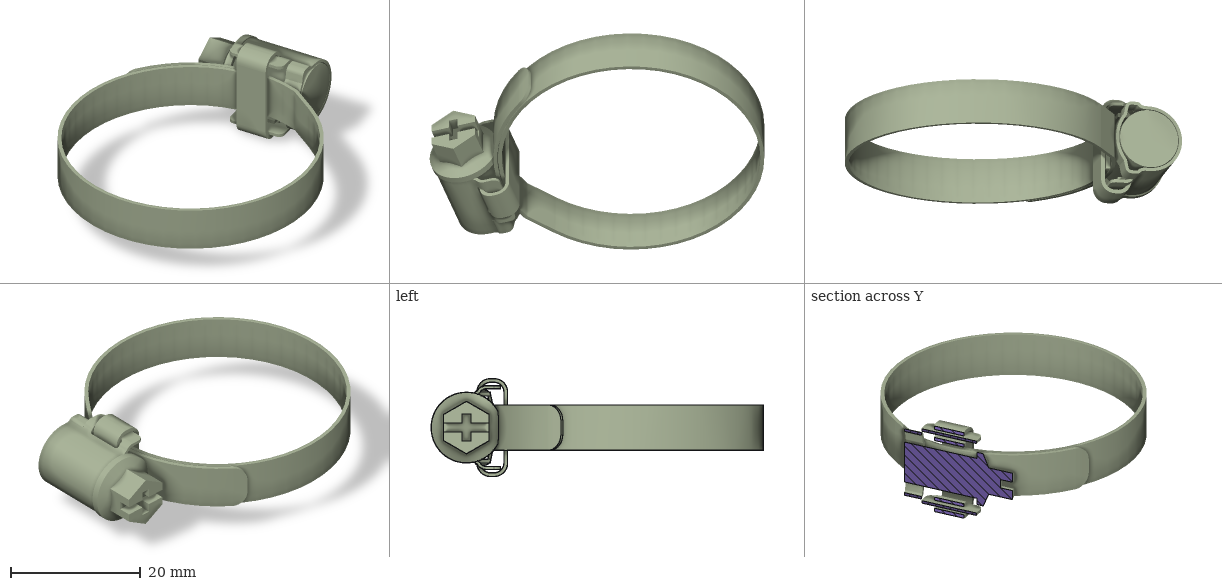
import cadquery as cq
import math


band_width = 7.0
band_thickness = 0.6
ring_radius = 20.5
layer_gap = 0.1
tail_inner_radius = ring_radius + layer_gap
tail_radius = tail_inner_radius + band_thickness
band_start_angle = 84.0
bend_angle = 68.5
tail_end_angle = 149.6
tail_tip_radius = 2.4
bend_radius = 1.2

screw_y = 25.25
hex_across_flats = 7.0
hex_end_x = -10.9
flange_radius = 5.45
flange_left_x = -5.83
flange_right_x = -4.76
cone_angle = 60.0
shank_radius = 4.6
cross_slot_width = 1.35
cross_slot_length = 4.2
cross_slot_depth = 2.0

wall = 0.5
barrel_radius = 5.22
housing_end_x = 7.7
skirt_end_x = -flange_right_x
skirt_half_width = 6.46
skirt_bottom_y = 20.0
skirt_corner_radius = 1.0
flank_top_y = 24.73
flank_bottom_y = 22.2
window_length = 6.05
window_top_y = 24.0
window_bottom_y = 22.65
window_corner_radius = 0.4

end_half_width = 5.8
end_crease_y = 23.94
end_side_top_y = 23.3
end_side_bottom_y = 22.5
end_corner = (21.5, 5.03)
end_floor_edge = (21.25, 3.8)
end_floor_y = 20.0

bridle_width = 5.2
bridle_thickness = 0.6
bridle_half_height = 7.55
bridle_bottom_y = 18.9
bridle_top_y = 23.65
bridle_radius = 2.1
hook_end_y = 21.58


def polar(radius, angle):
    """Point (x, y) at an angle in degrees around the band axis."""
    return (radius * math.cos(math.radians(angle)), radius * math.sin(math.radians(angle)))


def mirrored(point):
    """The point (y, z) reflected to the opposite side of the band."""
    return (point[0], -point[1])


def cylinder_x(radius, x_start, x_end):
    """Cylinder on the screw axis."""
    return cq.Workplane("YZ", origin=(x_start, screw_y, 0)).circle(radius).extrude(x_end - x_start)


def tangent_angle(ring, tail):
    """Where the ring must be left so that a tangent reaches the tail at the bend."""
    return bend_angle - math.degrees(math.acos(ring / tail))


def make_band():
    ring_inner = ring_radius - band_thickness
    leave_angle = tangent_angle(ring_radius, tail_radius)
    tangent = (-math.sin(math.radians(leave_angle)), math.cos(math.radians(leave_angle)))
    leave_inner = polar(ring_inner, leave_angle)
    run = math.sqrt(tail_inner_radius**2 - ring_inner**2)
    bend_inner = (leave_inner[0] + run * tangent[0], leave_inner[1] + run * tangent[1])
    tail_middle_angle = (bend_angle + tail_end_angle) / 2
    opposite_angle = 250.0
    band = (
        cq.Workplane("XY", origin=(0, 0, -band_width / 2))
        .moveTo(*polar(ring_radius, band_start_angle))
        .threePointArc(polar(ring_radius, opposite_angle), polar(ring_radius, leave_angle))
        .lineTo(*polar(tail_radius, bend_angle))
        .threePointArc(polar(tail_radius, tail_middle_angle), polar(tail_radius, tail_end_angle))
        .lineTo(*polar(tail_inner_radius, tail_end_angle))
        .threePointArc(polar(tail_inner_radius, tail_middle_angle), bend_inner)
        .lineTo(*leave_inner)
        .threePointArc(polar(ring_inner, opposite_angle), polar(ring_inner, band_start_angle))
        .close()
        .extrude(band_width)
    )
    outer_bend = cq.selectors.NearestToPointSelector((*polar(tail_radius, bend_angle), 0))
    inner_bend = cq.selectors.NearestToPointSelector((*bend_inner, 0))
    band = band.edges(outer_bend).fillet(bend_radius + band_thickness)
    band = band.edges(inner_bend).fillet(bend_radius)
    tip_middle = polar((tail_radius + tail_inner_radius) / 2, tail_end_angle)
    for z in (-band_width / 2, band_width / 2):
        tip_edge = cq.selectors.NearestToPointSelector((*tip_middle, z))
        band = band.edges(tip_edge).fillet(tail_tip_radius)
    return band


def make_screw():
    hex_diameter = hex_across_flats / math.cos(math.radians(30))
    head = (
        cq.Workplane("YZ", origin=(hex_end_x, screw_y, 0))
        .transformed(rotate=(0, 0, 90))
        .polygon(6, hex_diameter)
        .extrude(flange_left_x - hex_end_x)
    )
    flange = cylinder_x(flange_radius, flange_left_x, flange_right_x)
    cone_end_radius = hex_across_flats / 2
    cone_length = (flange_radius - cone_end_radius) / math.tan(math.radians(cone_angle))
    cone = (
        cq.Workplane("XY")
        .moveTo(flange_left_x, screw_y)
        .lineTo(flange_left_x, screw_y + flange_radius)
        .lineTo(flange_left_x - cone_length, screw_y + cone_end_radius)
        .lineTo(flange_left_x - cone_length, screw_y)
        .close()
        .revolve(360, (0, screw_y, 0), (1, screw_y, 0))
    )
    shank = cylinder_x(shank_radius, flange_right_x, housing_end_x)
    face = cq.Workplane("YZ", origin=(hex_end_x, screw_y, 0))
    long_slot = face.rect(2 * hex_across_flats, cross_slot_width).extrude(cross_slot_depth)
    short_slot = face.rect(cross_slot_width, cross_slot_length).extrude(cross_slot_depth)
    screw = head.union(cone).union(flange).union(shank).cut(long_slot).cut(short_slot)
    relief = cq.Workplane("XY").circle(tail_radius).extrude(2 * flange_radius, both=True)
    return screw.cut(relief)


flank_drop = flank_top_y - flank_bottom_y
flank_flare = skirt_half_width - barrel_radius
flank_turn = 2 * math.atan(flank_flare / flank_drop)
flank_radius = flank_drop / 2 / math.sin(flank_turn)


def upper_flank_point(angle, inset):
    """Point (y, z) on the concave half of the flank, moved inward by the inset."""
    radius = flank_radius + inset
    return (flank_top_y - radius * math.sin(angle), barrel_radius + flank_radius - radius * math.cos(angle))


def lower_flank_point(angle, inset):
    """Point (y, z) on the convex half of the flank, moved inward by the inset."""
    radius = flank_radius - inset
    return (
        flank_bottom_y + radius * math.sin(angle),
        skirt_half_width - flank_radius + radius * math.cos(angle),
    )


def saddle_outline(inset, x_start):
    """Half outline of the saddle, from the barrel top to the skirt bottom, closed at z = 0."""
    radius = barrel_radius - inset
    top = (screw_y + radius * math.sqrt(0.5), radius * math.sqrt(0.5))
    half_turn = flank_turn / 2
    return (
        cq.Workplane("YZ", origin=(x_start, 0, 0))
        .moveTo(screw_y + radius, 0)
        .threePointArc(top, (screw_y, radius))
        .lineTo(flank_top_y, radius)
        .threePointArc(upper_flank_point(half_turn, inset), upper_flank_point(flank_turn, inset))
        .threePointArc(lower_flank_point(half_turn, inset), (flank_bottom_y, skirt_half_width - inset))
        .lineTo(skirt_bottom_y, skirt_half_width - inset)
        .lineTo(skirt_bottom_y, 0)
        .close()
    )


def make_saddle():
    length = skirt_end_x - flange_right_x
    outer = saddle_outline(0, flange_right_x).extrude(length)
    inner = saddle_outline(wall, flange_right_x).extrude(length)
    saddle = outer.cut(inner)
    for x in (flange_right_x, skirt_end_x):
        corner = cq.selectors.NearestToPointSelector((x, skirt_bottom_y, skirt_half_width - wall / 2))
        saddle = saddle.edges(corner).fillet(skirt_corner_radius)
    return saddle


def tangent_arc_middle(start, end):
    """Middle (y, z) of an arc from start to end that runs along Y at the start."""
    dy = end[0] - start[0]
    dz = end[1] - start[1]
    radius = (dy**2 + dz**2) / (2 * abs(dz))
    half_angle = math.asin(abs(dy) / radius) / 2
    return (
        start[0] + math.copysign(radius * math.sin(half_angle), dy),
        start[1] + math.copysign(radius * (1 - math.cos(half_angle)), dz),
    )


def make_closed_end():
    crease_angle = math.asin((flank_top_y - end_crease_y) / flank_radius)
    crease = upper_flank_point(crease_angle, 0)
    side_top = (end_side_top_y, end_half_width)
    side_bottom = (end_side_bottom_y, end_half_width)
    floor_bottom = (end_floor_y, 0)
    outline = (
        cq.Workplane("YZ", origin=(skirt_end_x, 0, 0))
        .moveTo(*mirrored(end_floor_edge))
        .threePointArc(floor_bottom, end_floor_edge)
        .lineTo(*end_corner)
        .threePointArc(tangent_arc_middle(side_bottom, end_corner), side_bottom)
        .lineTo(*side_top)
        .threePointArc(tangent_arc_middle(side_top, crease), crease)
        .threePointArc(upper_flank_point(crease_angle / 2, 0), (flank_top_y, barrel_radius))
        .lineTo(screw_y, barrel_radius)
        .threePointArc((screw_y + barrel_radius, 0), (screw_y, -barrel_radius))
        .lineTo(flank_top_y, -barrel_radius)
        .threePointArc(mirrored(upper_flank_point(crease_angle / 2, 0)), mirrored(crease))
        .threePointArc(mirrored(tangent_arc_middle(side_top, crease)), mirrored(side_top))
        .lineTo(*mirrored(side_bottom))
        .threePointArc(mirrored(tangent_arc_middle(side_bottom, end_corner)), mirrored(end_corner))
        .close()
    )
    length = housing_end_x - skirt_end_x
    cavity_outline = outline.val().offset2D(-wall)
    cavity = cq.Workplane("YZ", origin=(skirt_end_x, 0, 0)).add(cavity_outline).toPending().extrude(length)
    return outline.extrude(length).cut(cavity)


def make_housing():
    half = make_saddle()
    housing = half.union(half.mirror("XY")).union(make_closed_end())
    window_height = window_top_y - window_bottom_y
    windows = (
        cq.Workplane("XY", origin=(0, (window_top_y + window_bottom_y) / 2, 0))
        .rect(window_length, window_height)
        .extrude(2 * skirt_half_width, both=True)
        .edges("|Z")
        .fillet(window_corner_radius)
    )
    notch = cq.Workplane("XY").circle(tail_radius).extrude(band_width / 2, both=True)
    return housing.cut(windows).cut(notch)


def make_bridle():
    inner_radius = bridle_radius - bridle_thickness
    arc_z = bridle_half_height - bridle_radius
    lower_y = bridle_bottom_y + bridle_radius
    upper_y = bridle_top_y - bridle_radius
    inner_half_height = bridle_half_height - bridle_thickness
    hook_low_z = arc_z - bridle_thickness

    def bend_middle(centre_y, reach):
        """Middle (y, z) of a quarter bend that reaches from its centre towards +Y, or -Y if negative."""
        diagonal = reach * math.sqrt(0.5)
        return (centre_y + diagonal, arc_z + abs(diagonal))

    half = (
        cq.Workplane("YZ", origin=(-bridle_width / 2, 0, 0))
        .moveTo(bridle_bottom_y, 0)
        .lineTo(bridle_bottom_y, arc_z)
        .threePointArc(bend_middle(lower_y, -bridle_radius), (lower_y, bridle_half_height))
        .lineTo(upper_y, bridle_half_height)
        .threePointArc(bend_middle(upper_y, bridle_radius), (bridle_top_y, arc_z))
        .lineTo(bridle_top_y, hook_low_z)
        .lineTo(hook_end_y, hook_low_z)
        .lineTo(hook_end_y, arc_z)
        .lineTo(bridle_top_y - bridle_thickness, arc_z)
        .threePointArc(bend_middle(upper_y, inner_radius), (upper_y, inner_half_height))
        .lineTo(lower_y, inner_half_height)
        .threePointArc(bend_middle(lower_y, -inner_radius), (bridle_bottom_y + bridle_thickness, arc_z))
        .lineTo(bridle_bottom_y + bridle_thickness, 0)
        .close()
        .extrude(bridle_width)
    )
    return half.union(half.mirror("XY"))


band = make_band()
screw = make_screw()
housing = make_housing()
bridle = make_bridle()

result = cq.Compound.makeCompound([body.solids().val() for body in (band, screw, housing, bridle)])